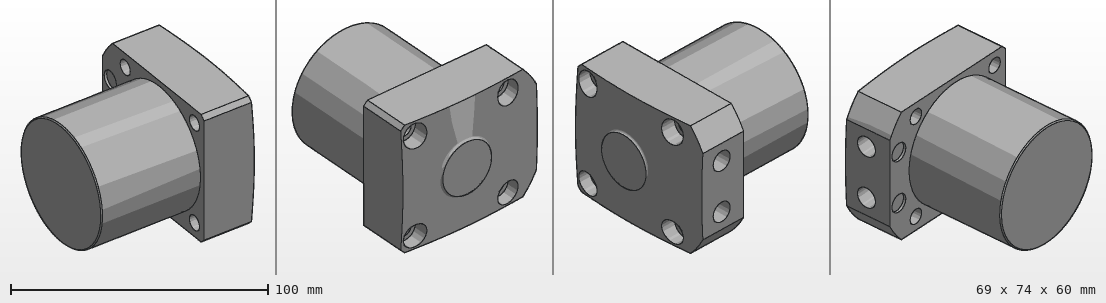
import cadquery as cq
import math


flange_half_height = 30.01
flange_left = 39.0
flange_right = 30.0
corner_radius = 43.95
right_chamfer = 2.0

barrel_radius = 27.5
barrel_length = 47.0
barrel_chamfer = 0.5

overall_length = 74.0
boss_top_y = overall_length - barrel_length
boss_top_radius = 12.35
boss_base_radius = 13.3
cone_start_y = 26.0
cone_angle = 7.0
cone_outer_radius = 48.1

mount_offset = 23.45
mount_diameter = 6.8
counterbore_diameter = 11.0
counterbore_depth = 6.5

port_spacing = 24.0
port_y = 12.0
port_diameter = 9.2
port_depth = 10.0
port_inner_diameter = 8.1
port_inner_depth = 12.0
recess_x = -33.6
recess_diameter = 8.2
recess_depth = 1.2


def cone_y(radius):
    """Y position of the conical back at a distance from the axis."""
    return cone_start_y - (radius - boss_base_radius) * math.tan(math.radians(cone_angle))


def cylinder_y(radius, start_y, length, x=0, z=0):
    """Cylinder running toward +Y."""
    base = cq.Vector(x, start_y, z)
    return cq.Workplane(cq.Solid.makeCylinder(radius, length, base, cq.Vector(0, 1, 0)))


def make_flange():
    """Flange prism trimmed by the revolved shape of its conical back."""
    arc_x = math.sqrt(corner_radius**2 - flange_half_height**2)
    side_z = math.sqrt(corner_radius**2 - flange_left**2)
    mid_angle = (math.atan2(flange_half_height, arc_x) + math.atan2(side_z, flange_left)) / 2
    mid_x = corner_radius * math.cos(mid_angle)
    mid_z = corner_radius * math.sin(mid_angle)
    prism = (
        cq.Workplane("XZ")
        .moveTo(-flange_left, -side_z)
        .lineTo(-flange_left, side_z)
        .threePointArc((-mid_x, mid_z), (-arc_x, flange_half_height))
        .lineTo(flange_right - right_chamfer, flange_half_height)
        .lineTo(flange_right, flange_half_height - right_chamfer)
        .lineTo(flange_right, right_chamfer - flange_half_height)
        .lineTo(flange_right - right_chamfer, -flange_half_height)
        .lineTo(-arc_x, -flange_half_height)
        .threePointArc((-mid_x, -mid_z), (-flange_left, -side_z))
        .close()
        .extrude(-boss_top_y)
    )
    envelope = (
        cq.Workplane("XY")
        .moveTo(0, 0)
        .lineTo(cone_outer_radius, 0)
        .lineTo(cone_outer_radius, cone_y(cone_outer_radius))
        .lineTo(boss_base_radius, cone_start_y)
        .tangentArcPoint((boss_top_radius, boss_top_y), relative=False)
        .lineTo(0, boss_top_y)
        .close()
        .revolve(360, (0, 0), (0, 1))
    )
    return prism.intersect(envelope)


def make_barrel():
    barrel = cylinder_y(barrel_radius, -barrel_length, barrel_length)
    return barrel.faces("<Y").chamfer(barrel_chamfer)


def make_mounting_hole(x, z):
    floor_y = cone_y(math.hypot(x, z)) - counterbore_depth
    hole = cylinder_y(mount_diameter / 2, 0, boss_top_y, x, z)
    counterbore = cylinder_y(counterbore_diameter / 2, floor_y, boss_top_y - floor_y, x, z)
    return hole.union(counterbore)


def make_port(z):
    """Blind stepped port running inward from the left side."""
    mouth = cq.Vector(-flange_left, port_y, z)
    inward = cq.Vector(1, 0, 0)
    outer_bore = cq.Solid.makeCylinder(port_diameter / 2, port_depth, mouth, inward)
    inner_bore = cq.Solid.makeCylinder(port_inner_diameter / 2, port_inner_depth, mouth, inward)
    return cq.Workplane(outer_bore).union(cq.Workplane(inner_bore))


result = make_flange().union(make_barrel())

for hole_x in (-mount_offset, mount_offset):
    for hole_z in (-mount_offset, mount_offset):
        result = result.cut(make_mounting_hole(hole_x, hole_z))

for port_z in (-port_spacing / 2, port_spacing / 2):
    result = result.cut(make_port(port_z))
    result = result.cut(cylinder_y(recess_diameter / 2, 0, recess_depth, recess_x, port_z))